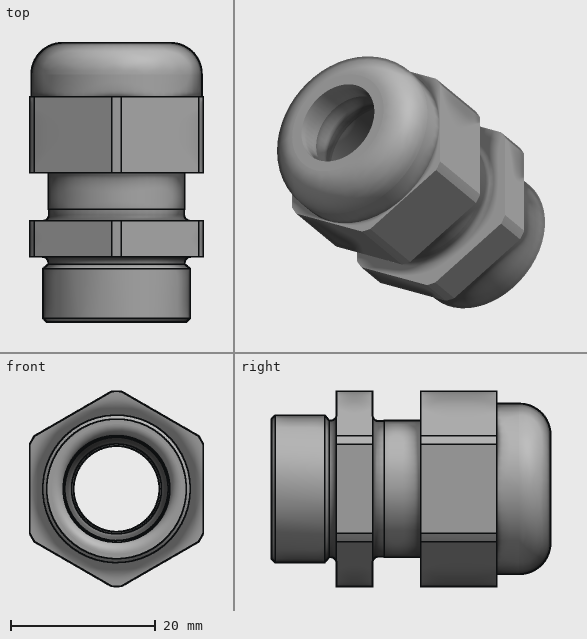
import cadquery as cq
OVERALL_LENGTH = 38.6

ACROSS_FLATS = 24.0
ACROSS_CORNERS = 27.0

THREAD_RADIUS = 10.2
THREAD_CHAMFER = 0.55
THREAD_END = 7.37
GROOVE_START = 8.0
FLANGE_START = 9.0
FLANGE_LENGTH = 5.0
FLANGE_END = FLANGE_START + FLANGE_LENGTH
ROOT_FILLET = 0.77
NECK_RADIUS = 9.45
RELIEF_RADIUS = 9.38
RELIEF_END = 15.6
NECK_END = 29.35

BORE_RADIUS = 7.37
MOUTH_FILLET = 1.6
BORE_END_RADIUS = 7.15
BORE_TAPER_LENGTH = 0.77

NUT_START = 20.6
NUT_HEX_LENGTH = 10.55
DOME_RADIUS = 11.8
DOME_FILLET = 4.4
NUT_HOLE_RADIUS = 5.9
NUT_WALL = 3.85
ENTRY_RADIUS = 10.6
ENTRY_DEPTH = 6.95

SEAL_START = NECK_END
SEAL_END = OVERALL_LENGTH - NUT_WALL
SEAL_RADIUS = NECK_RADIUS
SEAL_BORE_RADIUS = 6.2
FUNNEL_END_RADIUS = 6.52
FUNNEL_LENGTH = 1.55
THROAT_LENGTH = 1.15


def turned(profile):
    """Revolve a closed profile, given as (radius, y), about the Y axis."""
    return profile.close().revolve(360, (0, 0, 0), (0, 1, 0))


def cylinder(radius, start, end):
    """Solid cylinder along Y between two Y positions."""
    return turned(cq.Workplane("XY").moveTo(0, start).lineTo(radius, start).lineTo(radius, end).lineTo(0, end))


def hexagon(start, length):
    """Hexagonal prism along Y with its corners turned down."""
    prism = (
        cq.Workplane("XZ", origin=(0, start, 0))
        .polygon(6, ACROSS_FLATS, circumscribed=True)
        .extrude(-length)
    )
    return prism.intersect(cylinder(ACROSS_CORNERS / 2, start, start + length))


def make_body():
    """Threaded end, hexagonal flange and neck, with a bore that is rounded at its mouth."""
    lower_fillet_start = FLANGE_START - ROOT_FILLET
    upper_fillet_end = FLANGE_END + ROOT_FILLET
    sleeve = turned(
        cq.Workplane("XY")
        .moveTo(BORE_RADIUS + MOUTH_FILLET, 0)
        .lineTo(THREAD_RADIUS - THREAD_CHAMFER, 0)
        .lineTo(THREAD_RADIUS, THREAD_CHAMFER)
        .lineTo(THREAD_RADIUS, THREAD_END)
        .lineTo(NECK_RADIUS, GROOVE_START)
        .lineTo(NECK_RADIUS, lower_fillet_start)
        .radiusArc((NECK_RADIUS + ROOT_FILLET, FLANGE_START), ROOT_FILLET)
        .lineTo(RELIEF_RADIUS + ROOT_FILLET, FLANGE_END)
        .radiusArc((RELIEF_RADIUS, upper_fillet_end), ROOT_FILLET)
        .lineTo(RELIEF_RADIUS, RELIEF_END)
        .lineTo(NECK_RADIUS, RELIEF_END)
        .lineTo(NECK_RADIUS, NECK_END)
        .lineTo(BORE_END_RADIUS, NECK_END)
        .lineTo(BORE_RADIUS, NECK_END - BORE_TAPER_LENGTH)
        .lineTo(BORE_RADIUS, MOUTH_FILLET)
        .radiusArc((BORE_RADIUS + MOUTH_FILLET, 0), -MOUTH_FILLET)
    )
    flange = hexagon(FLANGE_START, FLANGE_LENGTH).cut(cylinder(NECK_RADIUS, FLANGE_START, FLANGE_END))
    return sleeve.union(flange)


def make_nut():
    """Hexagonal cap nut with a domed end, a threaded bore and a wider entry."""
    hex_part = hexagon(NUT_START, NUT_HEX_LENGTH)
    dome = cylinder(DOME_RADIUS, NUT_START, OVERALL_LENGTH).faces(">Y").edges().fillet(DOME_FILLET)
    thread_bore = cylinder(NECK_RADIUS, NUT_START, SEAL_END)
    entry = cylinder(ENTRY_RADIUS, NUT_START, NUT_START + ENTRY_DEPTH)
    cable_hole = cylinder(NUT_HOLE_RADIUS, NUT_START, OVERALL_LENGTH)
    return hex_part.union(dome).cut(thread_bore).cut(entry).cut(cable_hole)


def make_seal():
    """Ring with a funnel that curves into a straight bore."""
    funnel_end = SEAL_START + FUNNEL_LENGTH
    throat_end = funnel_end + THROAT_LENGTH
    return turned(
        cq.Workplane("XY")
        .moveTo(BORE_END_RADIUS, SEAL_START)
        .lineTo(SEAL_RADIUS, SEAL_START)
        .lineTo(SEAL_RADIUS, SEAL_END)
        .lineTo(SEAL_BORE_RADIUS, SEAL_END)
        .lineTo(SEAL_BORE_RADIUS, throat_end)
        .tangentArcPoint((FUNNEL_END_RADIUS, funnel_end), relative=False)
    )


body = make_body()
nut = make_nut()
seal = make_seal()

result = cq.Compound.makeCompound([body.val(), nut.val(), seal.val()])